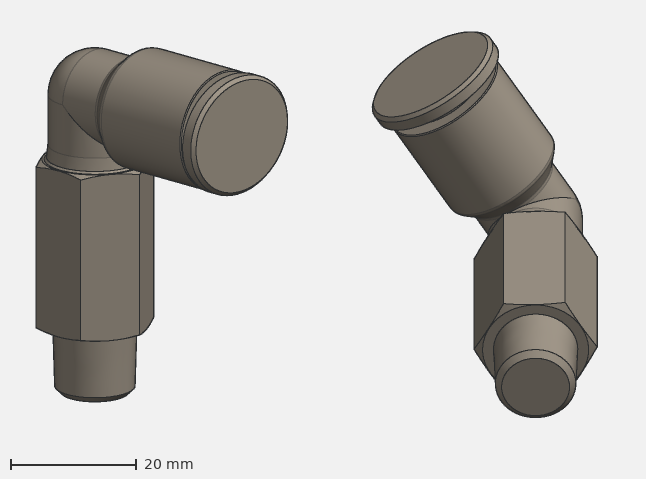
import cadquery as cq
import math

total_height = 59.5
total_length = 42.0

hex_sides = 6
hex_flats = 17.0
hex_corner_radius = hex_flats / 2 / math.cos(math.pi / hex_sides)
hex_bottom = 11.05
hex_top = 38.85
hex_chamfer_angle = 20.0
hex_chamfer_inset = 0.05

stub_top_radius = 6.7
stub_bottom_radius = 6.4
stub_chamfer = 1.0

socket_radius = 9.9
socket_axis_height = total_height - socket_radius
socket_end = 28.1
socket_edge_chamfer = 0.2
cone_start = 7.5
cone_end = 10.35
cone_blend_radius = 1.0

elbow_radius = 7.5
collar_top = 41.35
foot_top_radius = 7.75
foot_bottom_radius = 8.1
foot_height = 0.35

ring_end = total_length - hex_corner_radius
ring_width = 22.5
ring_height = 19.5
ring_thickness = 2.4
ring_chamfer = 0.6
ring_neck_radius = 7.1


def turn_about_z(profile):
    """Revolve (radius, height) points about the Z axis."""
    return cq.Workplane("XZ").polyline(profile).close().revolve(360, (0, 0), (0, 1))


def turn_about_x(profile):
    """Revolve (position, radius) points about the X axis."""
    return cq.Workplane("XZ").polyline(profile).close().revolve(360, (0, 0), (1, 0))


def make_stub():
    return turn_about_z([
        (0, 0),
        (stub_bottom_radius - stub_chamfer, 0),
        (stub_bottom_radius, stub_chamfer),
        (stub_top_radius, hex_bottom),
        (0, hex_bottom),
    ])


def make_hexagon():
    prism = (
        cq.Workplane("XY", origin=(0, 0, hex_bottom))
        .polygon(hex_sides, 2 * hex_corner_radius)
        .extrude(hex_top - hex_bottom)
    )
    face_radius = hex_flats / 2 - hex_chamfer_inset
    corner_drop = (hex_corner_radius - face_radius) * math.tan(math.radians(hex_chamfer_angle))
    envelope = turn_about_z([
        (0, hex_bottom),
        (face_radius, hex_bottom),
        (hex_corner_radius, hex_bottom + corner_drop),
        (hex_corner_radius, hex_top - corner_drop),
        (face_radius, hex_top),
        (0, hex_top),
    ])
    return prism.intersect(envelope)


def make_elbow():
    upright = turn_about_z([
        (0, hex_top),
        (foot_bottom_radius, hex_top),
        (foot_top_radius, hex_top + foot_height),
        (elbow_radius, collar_top),
        (elbow_radius, socket_axis_height),
        (0, socket_axis_height),
    ])
    bend = cq.Workplane("XY", origin=(0, 0, socket_axis_height)).sphere(elbow_radius)
    return upright.union(bend)


def make_socket():
    """Horizontal arm of the elbow, the socket and the neck carrying the release ring."""
    socket = turn_about_x([
        (0, 0),
        (0, elbow_radius),
        (cone_start, elbow_radius),
        (cone_end, socket_radius),
        (socket_end - socket_edge_chamfer, socket_radius),
        (socket_end, socket_radius - socket_edge_chamfer),
        (socket_end, ring_neck_radius),
        (ring_end, ring_neck_radius),
        (ring_end, 0),
    ])
    for rim_position in (cone_start, cone_end):
        nearest_rim = cq.NearestToPointSelector((rim_position, 0, 0))
        socket = socket.edges("%CIRCLE").edges(nearest_rim).fillet(cone_blend_radius)
    return socket.translate((0, 0, socket_axis_height))


def make_release_ring():
    ring = (
        cq.Workplane("YZ", origin=(ring_end - ring_thickness, 0, socket_axis_height))
        .ellipse(ring_width / 2, ring_height / 2)
        .extrude(ring_thickness)
    )
    return ring.faces(">X").edges().chamfer(ring_chamfer)


result = (
    make_stub()
    .union(make_hexagon())
    .union(make_elbow())
    .union(make_socket())
    .union(make_release_ring())
)